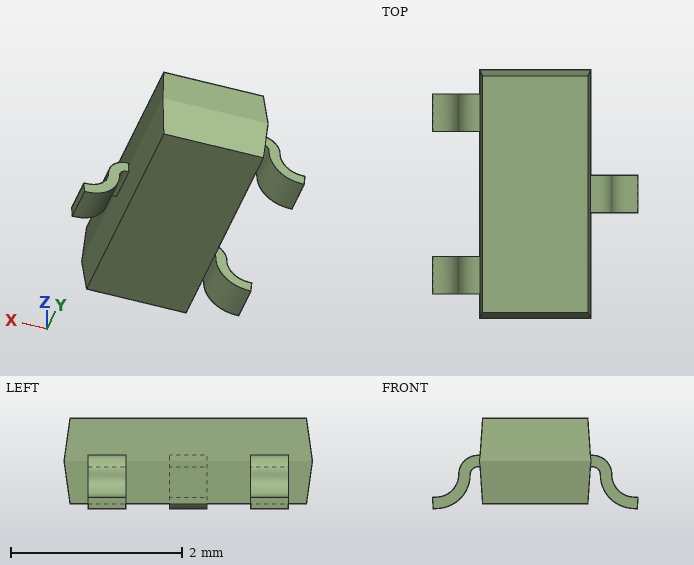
import cadquery as cq
import math

BODY_WIDTH = 1.3
BODY_LENGTH = 2.9
BODY_HEIGHT = 1.0
SIDE_DRAFT = 4.0
END_DRAFT = 8.0

LEAD_SPAN = 2.4
LEAD_WIDTH = 0.44
LEAD_THICKNESS = 0.135
LEAD_OFFSET = 0.948
SHOULDER_INNER_RADIUS = 0.09
FOOT_INNER_RADIUS = 0.26
FOOT_LENGTH = 0.065
FOOT_SLOPE = 4.0
LEAD_EMBED = 0.145


def body_half(direction):
    """Tapered half of the body; direction is +1 for the top half, -1 for the bottom half."""
    half_height = BODY_HEIGHT / 2
    end_width = BODY_WIDTH - 2 * half_height * math.tan(math.radians(SIDE_DRAFT))
    end_length = BODY_LENGTH - 2 * half_height * math.tan(math.radians(END_DRAFT))
    return (
        cq.Workplane("XY")
        .rect(BODY_WIDTH, BODY_LENGTH)
        .workplane(offset=direction * half_height)
        .rect(end_width, end_length)
        .loft(ruled=True)
    )


def lead(y_center):
    """Lead on the +X side: straight root, shoulder bend, foot bend and a short sloping foot."""
    slope = math.radians(FOOT_SLOPE)
    shoulder_outer_radius = SHOULDER_INNER_RADIUS + LEAD_THICKNESS
    foot_outer_radius = FOOT_INNER_RADIUS + LEAD_THICKNESS
    top_z = LEAD_THICKNESS / 2
    bend_z = top_z - shoulder_outer_radius

    foot_x = LEAD_SPAN / 2 - FOOT_LENGTH * math.cos(slope) + FOOT_INNER_RADIUS * math.sin(slope)
    shoulder_x = foot_x - FOOT_INNER_RADIUS - shoulder_outer_radius
    root_x = BODY_WIDTH / 2 - LEAD_EMBED

    def on_shoulder(radius, angle):
        return (shoulder_x + radius * math.cos(angle), bend_z + radius * math.sin(angle))

    def on_foot(radius, angle):
        return (foot_x + radius * math.cos(angle), bend_z + radius * math.sin(angle))

    def foot_tip(radius):
        start_x, start_z = on_foot(radius, foot_end)
        return (start_x + FOOT_LENGTH * math.cos(slope), start_z - FOOT_LENGTH * math.sin(slope))

    up = math.pi / 2
    diagonal = math.pi / 4
    left = math.pi
    foot_end = 3 * math.pi / 2 - slope
    foot_middle = (left + foot_end) / 2

    profile = (
        cq.Workplane("XZ", origin=(0, y_center, 0))
        .moveTo(root_x, top_z)
        .lineTo(*on_shoulder(shoulder_outer_radius, up))
        .threePointArc(on_shoulder(shoulder_outer_radius, diagonal), on_shoulder(shoulder_outer_radius, 0))
        .threePointArc(on_foot(FOOT_INNER_RADIUS, foot_middle), on_foot(FOOT_INNER_RADIUS, foot_end))
        .lineTo(*foot_tip(FOOT_INNER_RADIUS))
        .lineTo(*foot_tip(foot_outer_radius))
        .lineTo(*on_foot(foot_outer_radius, foot_end))
        .threePointArc(on_foot(foot_outer_radius, foot_middle), on_foot(foot_outer_radius, left))
        .threePointArc(on_shoulder(SHOULDER_INNER_RADIUS, diagonal), on_shoulder(SHOULDER_INNER_RADIUS, up))
        .lineTo(root_x, -top_z)
        .close()
    )
    return profile.extrude(LEAD_WIDTH / 2, both=True)


result = body_half(1).union(body_half(-1)).union(lead(0))
for lead_y in (-LEAD_OFFSET, LEAD_OFFSET):
    result = result.union(lead(lead_y).mirror("YZ"))